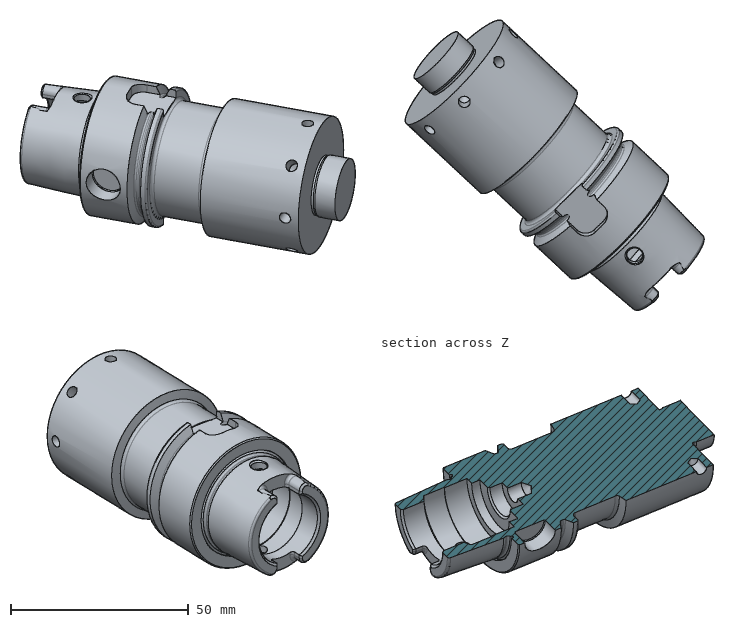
import cadquery as cq
import math

LENGTH = 91.9
CLEARANCE = 0.9

TAPER_TIP_R = 14.2
TAPER_END_R = 15.1
TAPER_END_X = 17.8
TAPER_SLOPE = (TAPER_END_R - TAPER_TIP_R) / TAPER_END_X
TIP_EDGE = 0.6
RELIEF_R = 14.8
RELIEF_CONE_X = 18.75
FACE_RECESS_INNER_R = 15.4
FACE_RECESS_OUTER_R = 16.2

FLANGE_X = 19.7
FLANGE_DIAMETER = 40.0
FLANGE_R = FLANGE_DIAMETER / 2
FLANGE_CHAMFER = 0.4
GROOVE_R = 17.3
GROOVE_LEFT_X = 33.9
GROOVE_RIGHT_X = 38.0
GROOVE_HALF_ANGLE = 27.0
GROOVE_FILLET = 0.6
FLANGE_END_X = 39.8
FLANGE_END_FILLET = 0.55

NECK_R = 16.5
NECK_FILLET = 1.0
HEAD_X = 55.05
HEAD_CONE_R = 17.1
HEAD_EDGE_X = 55.6
HEAD_R = 19.8
HEAD_END_X = 84.7
STUB_R = 8.9
STUB_UNDERCUT_R = 8.6
STUB_CONE_X = 85.4
STUB_X = 85.9

BORE_R = 10.5
CLAMP_X = 7.5
CLAMP_R = 12.5
CLAMP_ANGLE = 60.0
CLAMP_END_X = 15.5
REAR_R = 12.3
REAR_END_X = 23.0
INNER_BORE_R = 9.8
BORE_FLOOR_X = 25.7
POCKET_R = 5.4
POCKET_CHAMFER = 0.55
POCKET_FLOOR_X = 30.3
PILOT_R = 2.7
PILOT_END_X = 34.9
DRILL_HALF_ANGLE = 59.0

SLOT_HALF_WIDTH = 3.95
SLOT_TOP_DEPTH = 6.25
SLOT_BOTTOM_DEPTH = 3.8
SLOT_CORNER_R = 0.9
SLOT_ROLL_R = 2.0

CROSS_X = 13.8
CROSS_R = 2.3
CROSS_SINK_R = 2.8

SEAT_X = 27.75
SEAT_END_X = 39.9
SEAT_WIDTH = 10.75
SEAT_CORNER_R = 3.5
SEAT_Z = 16.8
RECESS_X = 26.8
RECESS_R = 5.1
RECESS_CHAMFER = 0.3
RECESS_DEPTH = 5.5

HEAD_HOLE_COUNT = 8
HEAD_HOLE_X = 80.8
HEAD_HOLE_R = 1.7
HEAD_HOLE_DEPTH = 4.6


def drill_tip(radius):
    """Length of the conical point left by a drill."""
    return radius / math.tan(math.radians(DRILL_HALF_ANGLE))


def revolve_x(profile):
    return profile.close().revolve(360, (0, 0, 0), (1, 0, 0))


def make_body():
    """Solid of revolution, with the V-groove and neck corners rounded."""
    groove_run = (FLANGE_R - GROOVE_R) * math.tan(math.radians(GROOVE_HALF_ANGLE))
    relief_fillet = FACE_RECESS_INNER_R - RELIEF_R
    face_recess_width = FACE_RECESS_OUTER_R - FACE_RECESS_INNER_R
    neck_start = FLANGE_END_X + NECK_FILLET
    neck_end = HEAD_X - NECK_FILLET
    profile = (
        cq.Workplane("XY")
        .lineTo(0, TAPER_TIP_R - TIP_EDGE)
        .radiusArc((TIP_EDGE, TAPER_TIP_R), TIP_EDGE)
        .lineTo(TAPER_END_X, TAPER_END_R)
        .lineTo(RELIEF_CONE_X, RELIEF_R)
        .lineTo(FLANGE_X - relief_fillet, RELIEF_R)
        .radiusArc((FLANGE_X, FACE_RECESS_INNER_R), -relief_fillet)
        .radiusArc((FLANGE_X + face_recess_width, FACE_RECESS_OUTER_R), -face_recess_width)
        .lineTo(FLANGE_X, FACE_RECESS_OUTER_R)
        .lineTo(FLANGE_X, FLANGE_R - FLANGE_CHAMFER)
        .lineTo(FLANGE_X + FLANGE_CHAMFER, FLANGE_R)
        .lineTo(GROOVE_LEFT_X, FLANGE_R)
        .lineTo(GROOVE_LEFT_X + groove_run, GROOVE_R)
        .lineTo(GROOVE_RIGHT_X - groove_run, GROOVE_R)
        .lineTo(GROOVE_RIGHT_X, FLANGE_R)
        .lineTo(FLANGE_END_X - FLANGE_END_FILLET, FLANGE_R)
        .radiusArc((FLANGE_END_X, FLANGE_R - FLANGE_END_FILLET), FLANGE_END_FILLET)
        .lineTo(FLANGE_END_X, NECK_R + NECK_FILLET)
        .radiusArc((neck_start, NECK_R), -NECK_FILLET)
        .lineTo(neck_end, NECK_R)
        .radiusArc((HEAD_X, HEAD_CONE_R), -NECK_FILLET)
        .lineTo(HEAD_EDGE_X, HEAD_R)
        .lineTo(HEAD_END_X, HEAD_R)
        .lineTo(HEAD_END_X, STUB_UNDERCUT_R)
        .lineTo(STUB_CONE_X, STUB_UNDERCUT_R)
        .lineTo(STUB_X, STUB_R)
        .lineTo(LENGTH, STUB_R)
        .lineTo(LENGTH, 0)
    )
    groove_floor = cq.selectors.BoxSelector(
        (GROOVE_LEFT_X + groove_run / 2, -FLANGE_R, -FLANGE_R),
        (GROOVE_RIGHT_X - groove_run / 2, FLANGE_R, FLANGE_R),
    )
    return revolve_x(profile).edges(groove_floor).edges("%CIRCLE").fillet(GROOVE_FILLET)


def make_bore():
    clamp_run = (CLAMP_R - BORE_R) / math.tan(math.radians(CLAMP_ANGLE))
    profile = (
        cq.Workplane("XY")
        .lineTo(0, BORE_R + TIP_EDGE)
        .lineTo(TIP_EDGE, BORE_R)
        .lineTo(CLAMP_X, BORE_R)
        .lineTo(CLAMP_X + clamp_run, CLAMP_R)
        .lineTo(CLAMP_END_X, CLAMP_R)
        .lineTo(CLAMP_END_X, REAR_R)
        .lineTo(REAR_END_X, REAR_R)
        .lineTo(REAR_END_X, INNER_BORE_R)
        .lineTo(BORE_FLOOR_X, INNER_BORE_R)
        .lineTo(BORE_FLOOR_X, POCKET_R + POCKET_CHAMFER)
        .lineTo(BORE_FLOOR_X + POCKET_CHAMFER, POCKET_R)
        .lineTo(POCKET_FLOOR_X, POCKET_R)
        .lineTo(POCKET_FLOOR_X, PILOT_R)
        .lineTo(PILOT_END_X, PILOT_R)
        .lineTo(PILOT_END_X + drill_tip(PILOT_R), 0)
    )
    return revolve_x(profile)


def slot_section(x, growth, centre_y, centre_z):
    """Slot outline at one X: walls that roll over an arc centred at (centre_y, centre_z)."""
    roll_r = SLOT_ROLL_R - growth
    wall_y = SLOT_HALF_WIDTH + growth
    direction = math.atan2(centre_z, centre_y)
    edge_y = centre_y + roll_r * math.cos(direction)
    edge_z = centre_z + roll_r * math.sin(direction)
    return (
        cq.Workplane("YZ", origin=(x, 0, 0))
        .moveTo(-wall_y, 0)
        .lineTo(-wall_y, centre_z)
        .threePointArc((-centre_y, centre_z + roll_r), (-edge_y, edge_z))
        .lineTo(-edge_y, FLANGE_R)
        .lineTo(edge_y, FLANGE_R)
        .lineTo(edge_y, edge_z)
        .threePointArc((centre_y, centre_z + roll_r), (wall_y, centre_z))
        .lineTo(wall_y, 0)
        .close()
    )


def make_drive_slot(depth):
    """Cutter for the upper slot, widened by the tip-edge chamfer at its mouth."""
    surface_r = TAPER_TIP_R + TAPER_SLOPE * depth / 2
    centre_y = SLOT_HALF_WIDTH + SLOT_ROLL_R
    centre_z = math.sqrt((surface_r - SLOT_ROLL_R) ** 2 - centre_y**2)
    walls = cq.selectors.BoxSelector((0, -centre_y, CLEARANCE), (depth + CLEARANCE, centre_y, surface_r))
    slot = slot_section(0, 0, centre_y, centre_z).extrude(depth)
    slot = slot.faces(">X").edges(walls).fillet(SLOT_CORNER_R)
    outer = slot_section(0, TIP_EDGE, centre_y, centre_z).wires().val()
    inner = slot_section(TIP_EDGE, 0, centre_y, centre_z).wires().val()
    return slot.union(cq.Workplane(cq.Solid.makeLoft([outer, inner], True)))


def make_cross_hole():
    """Upper half of the cross hole, countersunk where it leaves the taper."""
    surface_r = TAPER_TIP_R + TAPER_SLOPE * CROSS_X
    sink_depth = CROSS_SINK_R - CROSS_R
    profile = (
        cq.Workplane("XZ", origin=(CROSS_X, 0, 0))
        .lineTo(CROSS_R, 0)
        .lineTo(CROSS_R, surface_r - sink_depth)
        .lineTo(CROSS_SINK_R, surface_r)
        .lineTo(CROSS_SINK_R, FLANGE_R)
        .lineTo(0, FLANGE_R)
        .close()
    )
    return profile.revolve(360, (0, 0, 0), (0, 1, 0))


def make_seat():
    """Flat-floored seat open toward the neck, with rounded corners at its closed end."""
    length = SEAT_END_X - SEAT_X
    return (
        cq.Workplane("XY")
        .box(length, SEAT_WIDTH, FLANGE_R, centered=(False, True, False))
        .edges("|Z and <X")
        .fillet(SEAT_CORNER_R)
        .translate((SEAT_X, 0, SEAT_Z))
    )


def make_recess():
    """Round blind recess entering from the -Y side of the flange, bevelled around its floor."""
    return (
        cq.Workplane("XZ", origin=(RECESS_X, RECESS_DEPTH - FLANGE_R, 0))
        .circle(RECESS_R)
        .extrude(FLANGE_R)
        .faces(">Y")
        .chamfer(RECESS_CHAMFER)
    )


def make_head_hole():
    floor_z = HEAD_R - HEAD_HOLE_DEPTH
    profile = (
        cq.Workplane("XZ", origin=(HEAD_HOLE_X, 0, 0))
        .moveTo(0, floor_z - drill_tip(HEAD_HOLE_R))
        .lineTo(HEAD_HOLE_R, floor_z)
        .lineTo(HEAD_HOLE_R, HEAD_R + CLEARANCE)
        .lineTo(0, HEAD_R + CLEARANCE)
        .close()
    )
    return profile.revolve(360, (0, 0, 0), (0, 1, 0))


result = make_body().cut(make_bore())
result = result.cut(make_drive_slot(SLOT_TOP_DEPTH))
result = result.cut(make_drive_slot(SLOT_BOTTOM_DEPTH).mirror("XY"))
result = result.cut(make_cross_hole())
result = result.cut(make_cross_hole().mirror("XY"))
result = result.cut(make_seat())
result = result.cut(make_seat().mirror("XY"))
result = result.cut(make_recess())
for index in range(HEAD_HOLE_COUNT):
    angle = 360 * index / HEAD_HOLE_COUNT
    result = result.cut(make_head_hole().rotate((0, 0, 0), (1, 0, 0), angle))